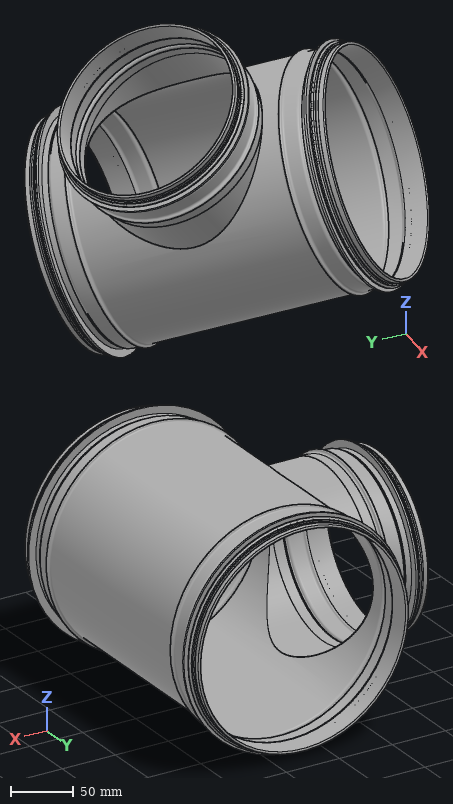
import cadquery as cq
import math

OVERALL_WIDTH = 256.7
PIPE_LENGTH = 268.0
PIPE_RADIUS = 198.8 / 2
BRANCH_RADIUS = 159.0 / 2
BRANCH_LENGTH = 51.7

GROOVE_RADIUS = 194.0 / 2
BAND_RADIUS = 195.4 / 2
BEAD_RADIUS = 204.5 / 2
LIP_RADIUS = 204.5 / 2
FLANGE_RADIUS = 209.3 / 2
BRANCH_REACH = OVERALL_WIDTH - FLANGE_RADIUS

WALL = 0.4
HEM_RADIUS = (PIPE_RADIUS - GROOVE_RADIUS + WALL) / 2
SKIRT_END = 5.5
HEM_GAP = 2 * (HEM_RADIUS - WALL)
GROOVE_DEPTH = PIPE_RADIUS - GROOVE_RADIUS
FLOOR_END = 21.2
GROOVE_EXIT = 3.8
BEAD_STATION = 38.9
BEAD_ANGLE = 80
BEAD_ROOT = 2.5
BEAD_BENDS = (BEAD_RADIUS - PIPE_RADIUS) / (1 - math.cos(math.radians(BEAD_ANGLE)))
BEAD_CROWN = BEAD_BENDS - BEAD_ROOT
BEAD_HALF_WIDTH = BEAD_BENDS * math.sin(math.radians(BEAD_ANGLE))

BAND_HEIGHT = BAND_RADIUS - GROOVE_RADIUS
SEAT_HEIGHT = 2.28
SHOULDER_HEIGHT = 3.5
LIP_HEIGHT = LIP_RADIUS - GROOVE_RADIUS
FLANGE_HEIGHT = FLANGE_RADIUS - GROOVE_RADIUS
SHOULDER_START = 7.8
LIP_START = 9.5
LIP_ROOT = 10.7
LIP_END = 11.8
FLANGE_START = 14.0
FLANGE_END = 15.8

NECK_RADIUS = BRANCH_RADIUS - WALL
NECK_BORE_RADIUS = 157.0 / 2
NECK_INSERTION = BRANCH_LENGTH - BEAD_STATION - BEAD_HALF_WIDTH


class SheetPath:
    """Section of a rolled sheet: its near line as (station, radius) points, and its far line one
    wall to the left of it."""

    def __init__(self, station, radius, heading):
        self.station = station
        self.radius = radius
        self.heading = math.radians(heading)
        self.near = [self.offset_point(0)]
        self.far = [self.offset_point(WALL)]
        self.is_arc = []

    def offset_point(self, depth):
        return (
            self.station - depth * math.sin(self.heading),
            self.radius + depth * math.cos(self.heading),
        )

    def record(self):
        self.near.append(self.offset_point(0))
        self.far.append(self.offset_point(WALL))

    def straight_to(self, station):
        self.station = station
        self.record()
        self.is_arc.append(False)

    def bend(self, bend_radius, angle):
        """Turn along an arc, leftwards for a positive angle; records its midpoint and its end."""
        half_turn = math.radians(angle) / 2
        half_chord = 2 * bend_radius * math.sin(abs(half_turn) / 2)
        for _ in range(2):
            chord_heading = self.heading + half_turn / 2
            self.station += half_chord * math.cos(chord_heading)
            self.radius += half_chord * math.sin(chord_heading)
            self.heading += half_turn
            self.record()
        self.is_arc.append(True)

    def step(self, length, height):
        """Move to a new radius through two equal opposite bends."""
        angle = 2 * math.atan(height / length)
        bend_radius = length / (2 * math.sin(abs(angle)))
        self.bend(bend_radius, math.degrees(angle))
        self.bend(bend_radius, -math.degrees(angle))

    def draw(self, sketch, points, is_arc):
        index = 0
        for arc in is_arc:
            if arc:
                sketch = sketch.threePointArc(points[index + 1], points[index + 2])
                index += 2
            else:
                sketch = sketch.lineTo(*points[index + 1])
                index += 1
        return sketch

    def revolve(self):
        """Spin the closed sheet section about the station axis."""
        sketch = cq.Workplane("XY").moveTo(*self.near[0])
        sketch = self.draw(sketch, self.near, self.is_arc)
        sketch = sketch.lineTo(*self.far[-1])
        sketch = self.draw(sketch, self.far[::-1], self.is_arc[::-1])
        return sketch.close().revolve(360, (0, 0), (1, 0))


def make_spigot(radius, length):
    """Rolled pipe end with its rim at X = 0 and the pipe running towards +X."""
    path = SheetPath(SKIRT_END, radius, heading=180)
    path.straight_to(HEM_RADIUS)
    path.bend(HEM_RADIUS, 180)
    path.straight_to(FLOOR_END)
    path.step(GROOVE_EXIT, GROOVE_DEPTH)
    path.straight_to(BEAD_STATION - BEAD_HALF_WIDTH)
    path.bend(BEAD_ROOT, BEAD_ANGLE)
    path.bend(BEAD_CROWN, -2 * BEAD_ANGLE)
    path.bend(BEAD_ROOT, BEAD_ANGLE)
    path.straight_to(length)
    return path.revolve()


def make_gasket(radius):
    """Rubber ring in the groove of a spigot with its rim at X = 0."""
    floor = radius - GROOVE_DEPTH
    section = [
        (HEM_RADIUS, 0),
        (HEM_RADIUS, HEM_GAP),
        (SKIRT_END, HEM_GAP),
        (SKIRT_END, SEAT_HEIGHT),
        (SHOULDER_START, SEAT_HEIGHT),
        (SHOULDER_START, SHOULDER_HEIGHT),
        (LIP_START, SHOULDER_HEIGHT),
        (LIP_ROOT, LIP_HEIGHT),
        (LIP_END, LIP_HEIGHT),
        (LIP_ROOT, SHOULDER_HEIGHT),
        (LIP_END, SEAT_HEIGHT),
        (FLANGE_START, SEAT_HEIGHT),
        (FLANGE_START, FLANGE_HEIGHT),
        (FLANGE_END, FLANGE_HEIGHT),
        (FLANGE_END, BAND_HEIGHT),
        (FLOOR_END, BAND_HEIGHT),
        (FLOOR_END, 0),
    ]
    points = [(station, floor + height) for station, height in section]
    return cq.Workplane("XY").polyline(points).close().revolve(360, (0, 0), (1, 0))


def place_on_pipe_end(body, turn):
    """Move a body from the X axis to an end of the main pipe: turn 90 for -Y, -90 for +Y."""
    return body.translate((-PIPE_LENGTH / 2, 0, 0)).rotate((0, 0, 0), (0, 0, 1), turn)


def place_on_branch(body):
    return body.translate((-BRANCH_REACH, 0, 0))


def branch_cylinder(radius, length):
    """Cylinder along the branch axis, from the pipe axis towards -X."""
    return cq.Workplane("YZ").circle(radius).extrude(-length)


def make_main_pipe():
    """Pipe with a spigot at each end and a short neck for the branch."""
    half_pipe = make_spigot(PIPE_RADIUS, PIPE_LENGTH / 2)
    pipe = place_on_pipe_end(half_pipe, 90).union(place_on_pipe_end(half_pipe, -90))
    neck_length = BRANCH_REACH - BRANCH_LENGTH + NECK_INSERTION
    pipe_bore = cq.Workplane("XZ").circle(PIPE_RADIUS - WALL).extrude(PIPE_LENGTH / 2, both=True)
    neck = branch_cylinder(NECK_RADIUS, neck_length).cut(pipe_bore)
    return pipe.union(neck).cut(branch_cylinder(NECK_BORE_RADIUS, neck_length))


END_TURNS = (90, -90)

main_pipe = make_main_pipe()
branch_spigot = place_on_branch(make_spigot(BRANCH_RADIUS, BRANCH_LENGTH))
gaskets = [place_on_pipe_end(make_gasket(PIPE_RADIUS), turn) for turn in END_TURNS]
gaskets.append(place_on_branch(make_gasket(BRANCH_RADIUS)))

result = cq.Compound.makeCompound(
    [main_pipe.val(), branch_spigot.val(), *[gasket.val() for gasket in gaskets]]
)